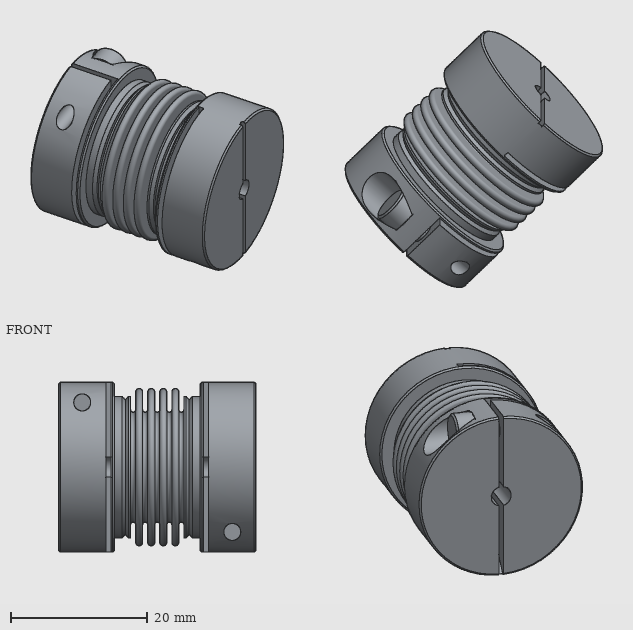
import cadquery as cq

total_length = 29.0
middle = total_length / 2

hub_radius = 12.5
hub_length = 8.2
hub_chamfer = 0.25
bore_radius = 1.5

slit_width = 0.75
cross_slit_start = 6.95
cross_slit_width = 0.75

saw_radius = 20.0
saw_center_x = -12.8
saw_center_z = 2.45

screw_x = cross_slit_start / 2
screw_z = 9.5
screw_radius = 1.5
thread_hole_radius = 1.25
screw_seat_y = 3.45
screw_tip_y = -screw_seat_y
head_pocket_radius = 3.0
head_radius = 2.75
head_height = 3.05
head_chamfer = 0.3

collar_radius = 10.4
v_groove_center = 9.8
v_groove_depth = 0.5

fold_count = 4
crest_radius = 11.57
root_radius = 8.1
crest_width = 1.05
root_width = 0.72
fold_pitch = crest_width + root_width
bellows_length = fold_count * fold_pitch + root_width
bellows_start = middle - bellows_length / 2


def cylinder_along_y(radius, y_start, y_end):
    """Cylinder on the clamping screw axis between two Y positions."""
    start = cq.Vector(screw_x, y_start, screw_z)
    return cq.Workplane(cq.Solid.makeCylinder(radius, y_end - y_start, start, cq.Vector(0, 1, 0)))


def block(x_range, y_range, z_range):
    """Box given by its limits along each axis."""
    size = [high - low for low, high in (x_range, y_range, z_range)]
    corner = cq.Vector(x_range[0], y_range[0], z_range[0])
    return cq.Workplane(cq.Solid.makeBox(*size, corner))


def make_saw_disc():
    """Disc as thick as the slit, centred on the plane Y = 0."""
    start = cq.Vector(saw_center_x, -slit_width / 2, saw_center_z)
    return cq.Workplane(cq.Solid.makeCylinder(saw_radius, slit_width, start, cq.Vector(0, 1, 0)))


def make_hub():
    """Left hub with its slits, screw holes and clamping screw."""
    hub = cq.Workplane("YZ").circle(hub_radius).extrude(hub_length)
    hub = hub.edges().chamfer(hub_chamfer)

    across = (-hub_radius, hub_radius)
    slit_sides = (-slit_width / 2, slit_width / 2)
    cross_slit_end = cross_slit_start + cross_slit_width
    hub = hub.cut(block((0, cross_slit_end), slit_sides, (0, hub_radius)))
    hub = hub.cut(make_saw_disc())
    hub = hub.cut(block((cross_slit_start, cross_slit_end), (-hub_radius, slit_width / 2), across))

    hub = hub.cut(cylinder_along_y(head_pocket_radius, screw_seat_y, hub_radius))
    hub = hub.cut(cylinder_along_y(thread_hole_radius, -hub_radius, screw_tip_y))

    shank = cylinder_along_y(screw_radius, screw_tip_y, screw_seat_y)
    head = cylinder_along_y(head_radius, screw_seat_y, screw_seat_y + head_height)
    head = head.faces(">Y").chamfer(head_chamfer)
    return hub.union(shank).union(head)


def make_bellows():
    """Collars and folded bellows, revolved as one profile about the coupling axis."""
    bellows_end = total_length - bellows_start
    crest_shoulder = crest_radius - crest_width / 2
    root_shoulder = root_radius + root_width / 2

    left_collar = [
        (hub_length, 0),
        (hub_length, collar_radius),
        (v_groove_center - v_groove_depth, collar_radius),
        (v_groove_center, collar_radius - v_groove_depth),
        (v_groove_center + v_groove_depth, collar_radius),
        (bellows_start, collar_radius),
        (bellows_start, root_shoulder),
    ]
    right_collar = [(total_length - x, radius) for x, radius in reversed(left_collar)]

    profile = cq.Workplane("XY").polyline(left_collar)
    for fold in range(fold_count):
        root_start = bellows_start + fold * fold_pitch
        crest_start = root_start + root_width
        crest_end = crest_start + crest_width
        profile = profile.threePointArc(
            (root_start + root_width / 2, root_radius), (crest_start, root_shoulder))
        profile = profile.lineTo(crest_start, crest_shoulder)
        profile = profile.threePointArc(
            (crest_start + crest_width / 2, crest_radius), (crest_end, crest_shoulder))
        profile = profile.lineTo(crest_end, root_shoulder)

    profile = profile.threePointArc(
        (bellows_end - root_width / 2, root_radius), (bellows_end, root_shoulder))
    for point in right_collar[1:]:
        profile = profile.lineTo(*point)
    return profile.close().revolve(360, (0, 0, 0), (1, 0, 0))


left_hub = make_hub()
right_hub = left_hub.rotate((middle, 0, 0), (middle, 1, 0), 180)
bore = cq.Workplane("YZ").circle(bore_radius).extrude(total_length)

result = make_bellows().union(left_hub).union(right_hub).cut(bore)